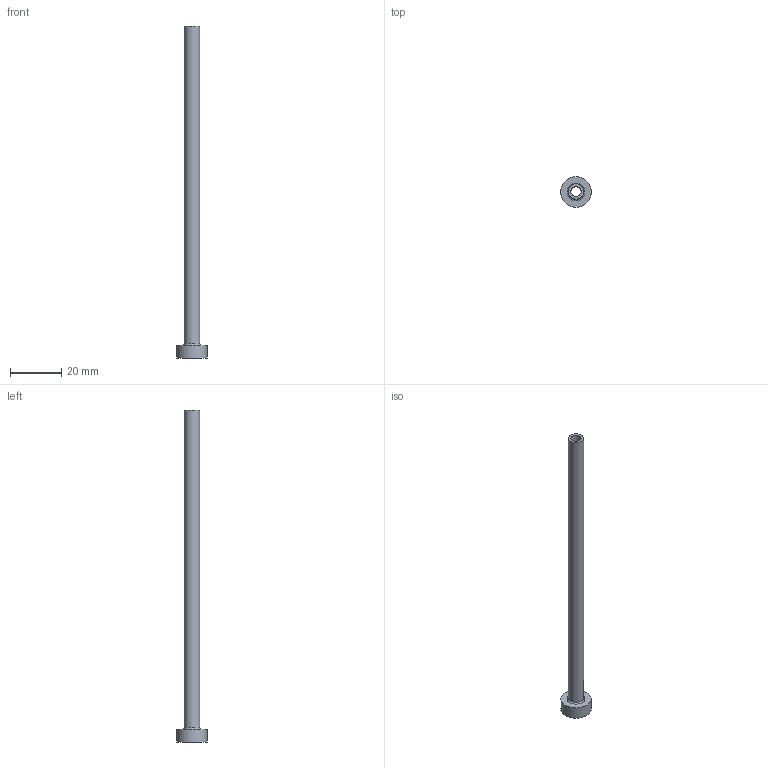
import cadquery as cq

TOTAL_LENGTH = 130.0
TUBE_DIAMETER = 6.0
BORE_DIAMETER = 4.0
HEAD_DIAMETER = 12.0
HEAD_HEIGHT = 5.0
NECK_FILLET_RADIUS = 0.5


def cylinder(diameter, height):
    """Upright cylinder on the Z axis, starting at Z = 0."""
    return cq.Workplane("XY").circle(diameter / 2).extrude(height)


def sleeve_body():
    """Solid head and tube, with a fillet where the tube meets the head."""
    head = cylinder(HEAD_DIAMETER, HEAD_HEIGHT)
    tube = cylinder(TUBE_DIAMETER, TOTAL_LENGTH)
    body = head.union(tube)
    smallest_circle = cq.selectors.RadiusNthSelector(0)
    neck_edge = body.faces("<Z[-2]").edges(smallest_circle)
    return neck_edge.fillet(NECK_FILLET_RADIUS)


bore = cylinder(BORE_DIAMETER, TOTAL_LENGTH)
result = sleeve_body().cut(bore)